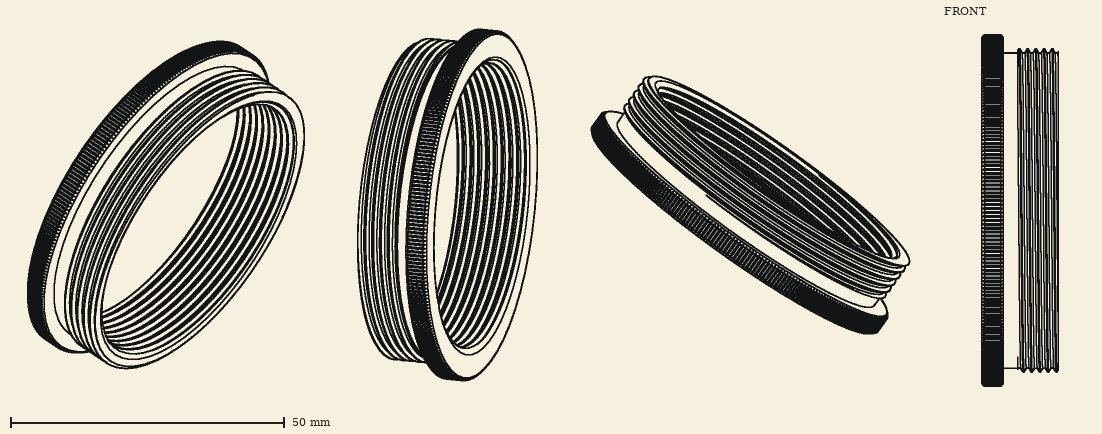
import cadquery as cq
import math

LENGTH = 14.0
OUTER_RADIUS = 32.1

FLANGE_WIDTH = 4.0
FLANGE_CHAMFER = 0.5
KNURL_COUNT = 280
KNURL_DEPTH = 0.3
KNURL_CREST_SHARE = 0.6

PITCH = 1.5
FLANK_SLOPE = math.tan(math.radians(30))
CREST_FLAT = PITCH / 8
ROOT_OVERLAP = 0.05
RUN_PAST = 2 * PITCH

BARREL_RADIUS = 57.65 / 2
RIDGE_RADIUS = 29.5
RIDGE_PHASE = 7.65
THREAD_START = 6.55

BORE_RADIUS = 26.2
GROOVE_RADIUS = 27.0
GROOVE_PHASE = 1.2
MOUTH_RADIUS = 27.35
MOUTH_DEPTH = (MOUTH_RADIUS - BORE_RADIUS) * FLANK_SLOPE

JOINT_RADIUS = 28.25


def disc(start, end, radius):
    """Cylinder on the X axis between two X positions."""
    return cq.Workplane("YZ").workplane(offset=start).circle(radius).extrude(end - start)


def threaded_rod(core_radius, tip_radius, phase, first, last):
    """Rod with a helical ridge, running past both ends; `phase` is a ridge centre at angle -Z."""
    turns_before = math.ceil((phase - first) / PITCH) + 1
    helix_start = phase - turns_before * PITCH
    turns = math.ceil((last - helix_start) / PITCH) + 1
    foot_radius = core_radius - ROOT_OVERLAP
    tip_half = CREST_FLAT / 2
    foot_half = tip_half + (tip_radius - foot_radius) * FLANK_SLOPE
    profile = (
        cq.Workplane("XZ")
        .moveTo(foot_radius, -foot_half)
        .lineTo(tip_radius, -tip_half)
        .lineTo(tip_radius, tip_half)
        .lineTo(foot_radius, foot_half)
        .close()
    )
    helix = cq.Wire.makeHelix(PITCH, turns * PITCH, foot_radius)
    ridge = profile.sweep(cq.Workplane(obj=helix), isFrenet=True)
    ridge = ridge.rotate((0, 0, 0), (0, 1, 0), 90).translate((helix_start, 0, 0))
    core = disc(helix_start - RUN_PAST, helix_start + turns * PITCH + RUN_PAST, core_radius)
    return core.union(ridge, clean=False)


def polar(radius, angle):
    """Point in the YZ plane at an angle measured from +Y."""
    return radius * math.cos(angle), radius * math.sin(angle)


def knurled_flange():
    """Disc with chamfered rims and straight V grooves between flat-topped teeth."""
    tooth_angle = 2 * math.pi / KNURL_COUNT
    half_crest = tooth_angle * KNURL_CREST_SHARE / 2
    root_radius = OUTER_RADIUS - KNURL_DEPTH
    points = []
    for i in range(KNURL_COUNT):
        middle = i * tooth_angle
        points.append(polar(OUTER_RADIUS, middle - half_crest))
        points.append(polar(OUTER_RADIUS, middle + half_crest))
        points.append(polar(root_radius, middle + tooth_angle / 2))
    teeth = cq.Workplane("YZ").polyline(points).close().extrude(FLANGE_WIDTH)
    envelope = disc(0, FLANGE_WIDTH, OUTER_RADIUS).edges().chamfer(FLANGE_CHAMFER)
    return teeth.intersect(envelope)


def threaded_barrel():
    """Plain neck behind the flange, then the outside thread up to the open end."""
    neck = disc(FLANGE_WIDTH, THREAD_START, BARREL_RADIUS)
    rod = threaded_rod(BARREL_RADIUS, RIDGE_RADIUS, RIDGE_PHASE, THREAD_START, LENGTH)
    return neck.union(rod.intersect(disc(THREAD_START, LENGTH, OUTER_RADIUS)), clean=False)


def bore_mouths():
    """Cones that open the bore at the flange face and at the far end."""
    front = (
        cq.Workplane("XY")
        .lineTo(0, MOUTH_RADIUS)
        .lineTo(MOUTH_DEPTH, BORE_RADIUS)
        .lineTo(MOUTH_DEPTH, 0)
        .close()
        .revolve(360, (0, 0, 0), (1, 0, 0))
    )
    back = front.mirror("YZ", (LENGTH / 2, 0, 0))
    return front.add(back).combine()


def outer_ring():
    """Flange and barrel outside the joint cylinder."""
    body = knurled_flange().union(threaded_barrel(), clean=False)
    return body.cut(disc(0, LENGTH, JOINT_RADIUS), clean=False)


def inner_ring():
    """Threaded bore inside the joint cylinder."""
    tap = threaded_rod(BORE_RADIUS, GROOVE_RADIUS, GROOVE_PHASE, 0, LENGTH)
    return disc(0, LENGTH, JOINT_RADIUS).cut(tap, clean=False).cut(bore_mouths(), clean=False)


def faces_without_joint(ring):
    """All faces of a ring but the joint cylinder, which is its largest cylindrical face."""
    joint = max(ring.faces("%CYLINDER").vals(), key=lambda face: face.Area())
    return [face for face in ring.faces().vals() if not face.isSame(joint)]


skin = faces_without_joint(outer_ring()) + faces_without_joint(inner_ring())
result = cq.Workplane(obj=cq.Solid.makeSolid(cq.Shell.makeShell(skin))).clean()